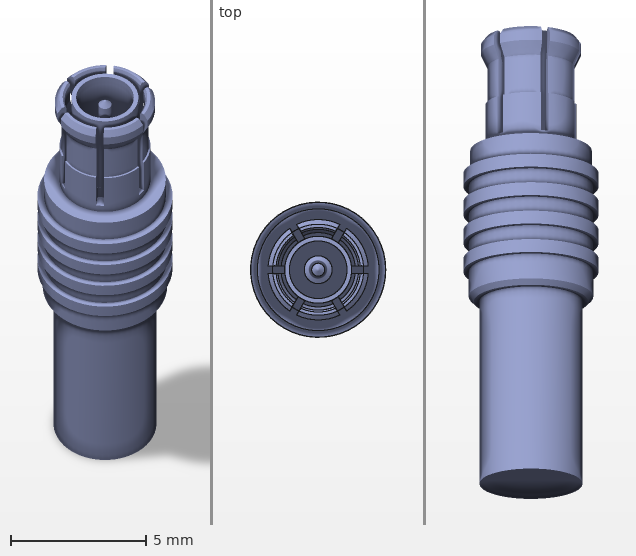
import cadquery as cq

total_height = 17.2
housing_bottom = 7.05
shoulder_top = 12.88

tail_radius = 1.91

grip_radius = 2.3
grip_bottom_chamfer = 0.19
collar_radius = 2.25
rib_radius = 5.0 / 2
rib_height = 0.5
rib_pitch = 1.1
rib_count = 4
top_rib_top = 12.0

collet_base_radius = 1.69
collet_neck_radius = 1.62
collet_head_radius = 1.85
collet_rim_radius = 1.69
neck_bottom = 14.65
neck_top = 16.12
head_bottom = 16.62
head_top = 16.98
neck_bore_radius = 1.38
neck_bore_top = 15.88
head_bore_radius = 1.5
head_bore_bottom = 16.29
collet_mouth_radius = 1.57
mouth_depth = 0.12

ring_outer_radius = 1.24
ring_bore_radius = 1.07
groove_bottom = 13.7
bore_bottom = shoulder_top

slot_count = 6
slot_width = 0.3
slot_bottom = 13.2

pin_shank_radius = 0.52
pin_tip_radius = 0.24
pin_top = 17.08
pin_tip_length = 0.24
pin_taper_top = 15.48
pin_taper_length = 0.25
pin_seat_depth = 1.72
pin_bottom = bore_bottom - pin_seat_depth


def cylinder(radius, bottom, top):
    return cq.Workplane("XY").workplane(offset=bottom).circle(radius).extrude(top - bottom)


def revolve_profile(points):
    """Turn a closed (radius, height) outline about the Z axis."""
    return cq.Workplane("XZ").polyline(points).close().revolve(360, (0, 0, 0), (0, 1, 0))


def make_grip():
    grip = cylinder(grip_radius, housing_bottom, top_rib_top)
    grip = grip.faces("<Z").chamfer(grip_bottom_chamfer)
    grip = grip.union(cylinder(collar_radius, top_rib_top, shoulder_top))
    for index in range(rib_count):
        rib_top = top_rib_top - index * rib_pitch
        grip = grip.union(cylinder(rib_radius, rib_top - rib_height, rib_top))
    return grip


def make_collet():
    return revolve_profile([
        (0, shoulder_top),
        (collet_base_radius, shoulder_top),
        (collet_base_radius, neck_bottom),
        (collet_neck_radius, neck_bottom),
        (collet_neck_radius, neck_top),
        (collet_head_radius, head_bottom),
        (collet_head_radius, head_top),
        (collet_rim_radius, total_height),
        (0, total_height),
    ])


def make_groove():
    return revolve_profile([
        (ring_outer_radius, groove_bottom),
        (neck_bore_radius, groove_bottom),
        (neck_bore_radius, neck_bore_top),
        (head_bore_radius, head_bore_bottom),
        (head_bore_radius, total_height - mouth_depth),
        (collet_mouth_radius, total_height),
        (ring_outer_radius, total_height),
    ])


def make_slots():
    slot_length = collet_head_radius - ring_outer_radius
    slot_centre_radius = ring_outer_radius + slot_length / 2
    return (
        cq.Workplane("XY")
        .workplane(offset=slot_bottom)
        .polarArray(slot_centre_radius, 0, 360, slot_count)
        .rect(slot_length, slot_width)
        .extrude(total_height - slot_bottom)
    )


def make_housing():
    housing = make_grip().union(make_collet())
    housing = housing.cut(make_groove())
    housing = housing.cut(make_slots())
    housing = housing.cut(cylinder(ring_bore_radius, bore_bottom, total_height))
    return housing.cut(cylinder(pin_shank_radius, pin_bottom, bore_bottom))


def make_pin():
    return revolve_profile([
        (0, pin_bottom),
        (pin_shank_radius, pin_bottom),
        (pin_shank_radius, pin_taper_top - pin_taper_length),
        (pin_tip_radius, pin_taper_top),
        (pin_tip_radius, pin_top - pin_tip_length),
        (0, pin_top),
    ])


def make_tail():
    return cylinder(tail_radius, 0, housing_bottom)


housing = make_housing()
pin = make_pin()
tail = make_tail()

result = cq.Compound.makeCompound([housing.val(), pin.val(), tail.val()])